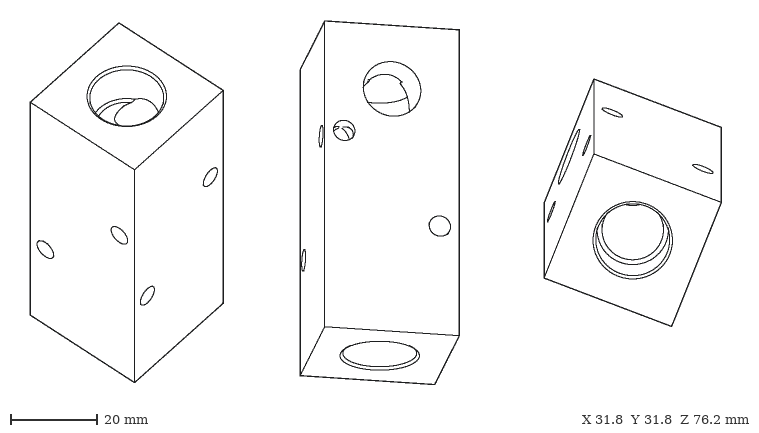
import cadquery as cq

length = 76.2
width = 31.8

pipe_taper = 1 / 16

bore_diameter = 14.25
socket_mouth_diameter = 18.45
socket_depth = 10.5
socket_end_diameter = 16.5
chamfer_depth = 0.6

mount_diameter = 5.0
mount_offset = 11.3
mount_height = 11.1

port_mouth_diameter = 13.6
port_height = 22.25


def make_socket():
    """Revolved cutter for the upper socket: a chamfered mouth, then a slow taper to a flat floor."""
    top = length / 2
    floor = top - socket_depth
    chamfer_end = top - chamfer_depth
    taper_length = socket_depth - chamfer_depth
    taper_start_radius = (socket_end_diameter + pipe_taper * taper_length) / 2
    profile = (
        cq.Workplane("XZ")
        .moveTo(0, floor)
        .lineTo(socket_end_diameter / 2, floor)
        .lineTo(taper_start_radius, chamfer_end)
        .lineTo(socket_mouth_diameter / 2, top)
        .lineTo(0, top)
        .close()
    )
    return profile.revolve(360, (0, 0, 0), (0, 1, 0))


def make_mount_holes(plane):
    """Pair of through holes, diagonally opposite about the centre of the given plane."""
    centres = [(side * mount_offset, side * mount_height) for side in (1, -1)]
    return (
        cq.Workplane(plane)
        .pushPoints(centres)
        .circle(mount_diameter / 2)
        .extrude(width / 2, both=True)
    )


def make_port():
    """Tapered side port narrowing from the +Y face to the block axis."""
    port_length = width / 2
    port_end_diameter = port_mouth_diameter - pipe_taper * port_length
    return (
        cq.Workplane("XZ")
        .center(0, port_height)
        .circle(port_end_diameter / 2)
        .workplane(offset=-port_length)
        .circle(port_mouth_diameter / 2)
        .loft()
    )


block = cq.Workplane("XY").box(width, width, length)
bore = cq.Workplane("XY").circle(bore_diameter / 2).extrude(length / 2, both=True)
upper_socket = make_socket()
lower_socket = upper_socket.mirror("XY")

body = block.cut(bore).cut(upper_socket).cut(lower_socket)
for plane in ("XZ", "YZ"):
    body = body.cut(make_mount_holes(plane))

result = body.cut(make_port())